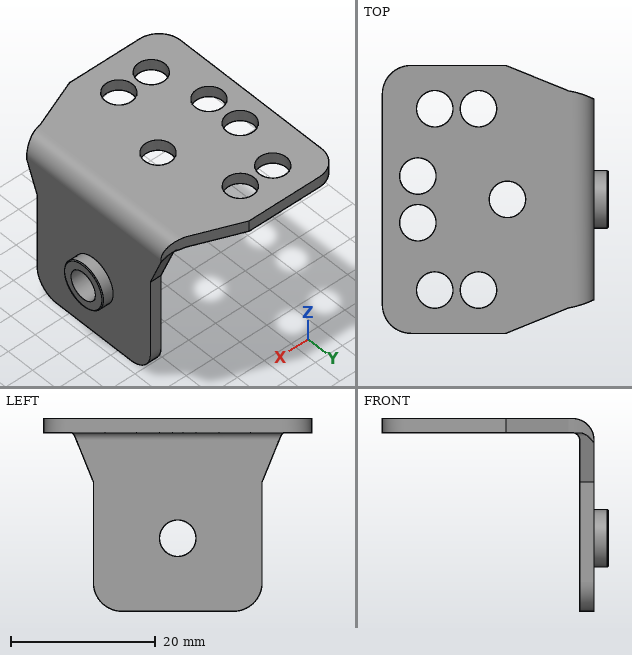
import cadquery as cq

plate_width = 37.0
outer_x = 29.23
total_height = 26.65
thickness = 2.0
corner_radius = 4.0
bend_inner_radius = 1.0
bend_outer_radius = bend_inner_radius + thickness

plate_taper_start_x = 17.05
plate_taper_end_x = 25.7
plate_taper_end_half_width = 15.0
bend_arc_mid_x = 27.95
bend_arc_mid_half_width = 14.4
bend_arc_end_half_width = 13.85

flange_half_width = 11.65
flange_taper_z = -8.77
flare_z = -2.4
flare_start_half_width = 14.25
flare_end_half_width = 14.55

hole_diameter = 5.0
side_hole_xs = (7.25, 13.3)
side_hole_y = 12.5
edge_hole_x = 4.92
edge_hole_y = 3.22
middle_hole_x = 17.28
boss_z = -16.55
boss_diameter = 8.0
boss_height = 1.95
boss_chamfer = 0.15


def make_bent_sheet():
    """L-shaped sheet at full width, before its sides are trimmed."""
    sheet = (
        cq.Workplane("XZ", origin=(0, plate_width / 2, 0))
        .polyline([
            (0, 0),
            (outer_x, 0),
            (outer_x, -total_height),
            (outer_x - thickness, -total_height),
            (outer_x - thickness, -thickness),
            (0, -thickness),
        ])
        .close()
        .extrude(plate_width)
    )
    sheet = sheet.edges("|Y and >X and >Z").fillet(bend_outer_radius)
    inner_corner = cq.selectors.NearestToPointSelector((outer_x - thickness, 0, -thickness))
    return sheet.edges(inner_corner).fillet(bend_inner_radius)


def make_plate_outline():
    """Prism along Z that trims the plate and the outside of the bend."""
    prism = (
        cq.Workplane("XY")
        .moveTo(0, -plate_width / 2)
        .lineTo(plate_taper_start_x, -plate_width / 2)
        .lineTo(plate_taper_end_x, -plate_taper_end_half_width)
        .threePointArc((bend_arc_mid_x, -bend_arc_mid_half_width), (outer_x, -bend_arc_end_half_width))
        .lineTo(outer_x, bend_arc_end_half_width)
        .threePointArc(
            (bend_arc_mid_x, bend_arc_mid_half_width),
            (plate_taper_end_x, plate_taper_end_half_width),
        )
        .lineTo(plate_taper_start_x, plate_width / 2)
        .lineTo(0, plate_width / 2)
        .close()
        .extrude(-total_height)
    )
    return prism.edges("|Z and <X").fillet(corner_radius)


def make_flange_outline():
    """Prism along X that trims the flange and leaves the plate at full width."""
    side = [
        (plate_width / 2, 0),
        (plate_width / 2, -thickness),
        (flare_end_half_width, -thickness),
        (flare_start_half_width, flare_z),
        (flange_half_width, flange_taper_z),
        (flange_half_width, -total_height),
    ]
    other_side = [(-y, z) for y, z in reversed(side)]
    prism = cq.Workplane("YZ").polyline(side + other_side).close().extrude(outer_x)
    return prism.edges("|X and <Z").fillet(corner_radius)


def make_plate_holes():
    centers = [(x, y) for x in side_hole_xs for y in (-side_hole_y, side_hole_y)]
    centers += [(edge_hole_x, -edge_hole_y), (edge_hole_x, edge_hole_y), (middle_hole_x, 0)]
    return cq.Workplane("XY").pushPoints(centers).circle(hole_diameter / 2).extrude(-thickness)


def make_boss():
    boss = cq.Workplane("YZ", origin=(outer_x, 0, boss_z)).circle(boss_diameter / 2).extrude(boss_height)
    return boss.faces(">X").chamfer(boss_chamfer)


def make_boss_hole():
    """Hole through the flange and the boss."""
    flange_inside = cq.Workplane("YZ", origin=(outer_x - thickness, 0, boss_z))
    return flange_inside.circle(hole_diameter / 2).extrude(thickness + boss_height)


bracket = make_bent_sheet().intersect(make_plate_outline()).intersect(make_flange_outline())
result = bracket.union(make_boss()).cut(make_plate_holes()).cut(make_boss_hole())